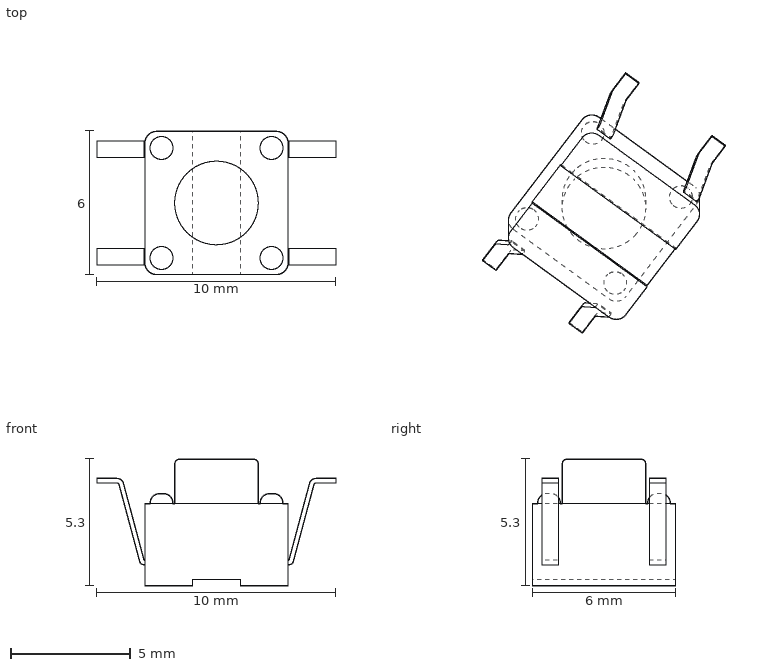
import cadquery as cq
import math

body_side = 6.0
body_corner_radius = 0.5
body_height = 3.44
slot_width = 2.0
slot_height = 0.26

total_height = 5.3
button_diameter = 3.5
button_edge_radius = 0.2

rivet_diameter = 0.96
rivet_height = 0.42
rivet_edge_radius = 0.4
rivet_offset = 2.3

lead_span = 10.0
lead_width = 0.7
lead_thickness = 0.2
lead_offset = 2.25
lead_top = 4.5
lead_bottom = 0.88
lead_tilt = math.radians(15.0)
foot_length = 0.98
upper_inner_radius = 0.1
upper_outer_radius = upper_inner_radius + lead_thickness
lower_outer_radius = 0.2
root_embed = 0.1

root_x = body_side / 2 - root_embed


def make_body():
    body = cq.Workplane("XY").rect(body_side, body_side).extrude(body_height)
    body = body.edges("|Z").fillet(body_corner_radius)
    slot = cq.Workplane("XY").box(slot_width, body_side, slot_height, centered=(True, True, False))
    return body.cut(slot)


def make_button():
    button = cq.Workplane("XY", origin=(0, 0, body_height)).circle(button_diameter / 2)
    button = button.extrude(total_height - body_height)
    return button.faces(">Z").edges().fillet(button_edge_radius)


def make_rivets():
    rivets = cq.Workplane("XY", origin=(0, 0, body_height))
    rivets = rivets.rect(2 * rivet_offset, 2 * rivet_offset, forConstruction=True).vertices()
    rivets = rivets.circle(rivet_diameter / 2).extrude(rivet_height)
    return rivets.faces(">Z").edges().fillet(rivet_edge_radius)


def make_lead(center_y):
    """Z-shaped strip on the +X side, running from the housing wall out to a flat foot."""
    tip = lead_span / 2
    foot_underside = lead_top - lead_thickness
    root_top = lead_bottom + lead_thickness
    foot_center = lead_top - lead_thickness / 2
    half_leg = lead_thickness / 2 / math.cos(lead_tilt)

    def leg_center(z):
        return tip - foot_length - (foot_center - z) * math.tan(lead_tilt)

    upper_outer = (leg_center(lead_top) - half_leg, lead_top)
    upper_inner = (leg_center(foot_underside) + half_leg, foot_underside)
    lower_inner = (leg_center(root_top) - half_leg, root_top)
    lower_outer = (leg_center(lead_bottom) + half_leg, lead_bottom)
    outline = [
        (tip, lead_top),
        upper_outer,
        lower_inner,
        (root_x, root_top),
        (root_x, lead_bottom),
        lower_outer,
        upper_inner,
        (tip, foot_underside),
    ]
    lead = cq.Workplane("XZ", origin=(0, center_y + lead_width / 2, 0))
    lead = lead.polyline(outline).close().extrude(lead_width)
    bends = [
        (upper_outer, upper_outer_radius),
        (upper_inner, upper_inner_radius),
        (lower_outer, lower_outer_radius),
    ]
    for (x, z), radius in bends:
        corner = cq.selectors.NearestToPointSelector((x, center_y, z))
        lead = lead.edges("|Y").edges(corner).fillet(radius)
    return lead


result = make_body().union(make_button()).union(make_rivets())
for side_y in (-lead_offset, lead_offset):
    lead = make_lead(side_y)
    result = result.union(lead).union(lead.mirror("YZ"))